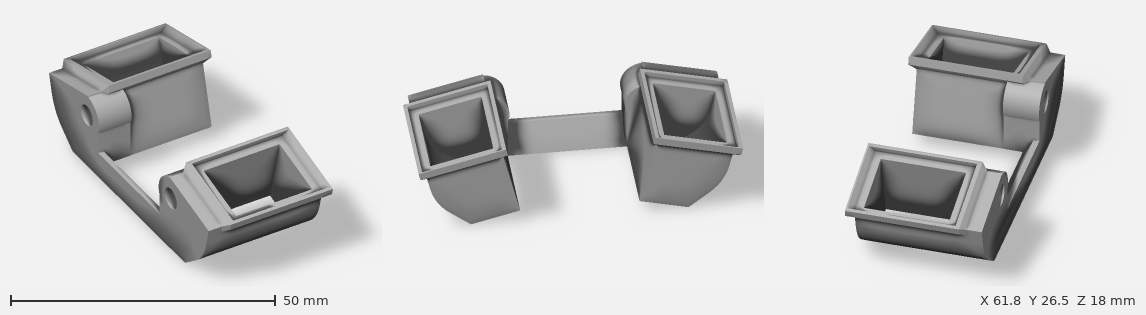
import cadquery as cq
import math

half_length = 30.9
total_height = 17.95
tilt = 14.0

rim_width = 17.2
rim_back = 26.5
rim_front = 4.1
rim_wall_height = 1.5
bevel = 1.2
back_overhang = 1.5
rim_thickness = 0.75
rim_front_thickness = 0.85
pod_back = rim_back - back_overhang
pod_left = bevel
pod_right = rim_width - bevel
pod_inner_wall = 16.2
pod_bottom = -15.85
side_corner = -9.05
bottom_corner = 6.55
side_radius = 10.5

cavity_wall = 1.25
cavity_front = 6.75
cavity_back = 23.45
cavity_radius = 7.8
sloping_wall_shift = 2.1

plate_depth = 7.1
pivot_radius = 4.5
pivot_across = 14.5
hole_diameter = 4.4
hole_depth = 5.0
plate_inner_x = -11.3
bar_height = 5.55
bar_top_depth = 1.2
bar_bottom_depth = 4.15

sin_tilt = math.sin(math.radians(tilt))
cos_tilt = math.cos(math.radians(tilt))
rim_edge_z = total_height - rim_width * sin_tilt


def to_part(u, v):
    """Return part X and Z of a point in the pod frame."""
    return (
        -half_length + u * cos_tilt - v * sin_tilt,
        rim_edge_z + u * sin_tilt + v * cos_tilt,
    )


def place(pod_shape):
    """Tilt a shape from the pod frame into its place on the left of the part."""
    tilted = pod_shape.rotate((0, 0, 0), (0, 1, 0), -tilt)
    return tilted.translate((-half_length, 0, rim_edge_z))


def prism(points, front, back):
    """Extrude an XZ outline between two Y positions."""
    outline = cq.Workplane("XZ", origin=(0, front, 0)).polyline(points).close()
    return outline.extrude(front - back)


def pod_prism(left, right, low_corner, top, bottom, radius, front, back):
    """Prism with one rounded, sloping outer side."""
    points = [(left, top), (right, top), (right, bottom), (low_corner, bottom), (left, side_corner)]
    rounded_edge = cq.selectors.NearestToPointSelector((left, (front + back) / 2, side_corner))
    return prism(points, front, back).edges(rounded_edge).fillet(radius)


def make_rim():
    """Raised frame with bevelled underside, slanted front and slanted recess back."""
    underside = -rim_wall_height - bevel
    section = [
        (0, 0), (rim_width, 0), (rim_width, -rim_wall_height),
        (pod_right, underside), (pod_left, underside), (0, -rim_wall_height),
    ]
    rim = prism(section, rim_front - bevel, rim_back)

    plan = [
        (0, rim_front), (bevel, rim_front - bevel), (pod_right, rim_front - bevel),
        (rim_width, rim_front), (rim_width, rim_back), (0, rim_back),
    ]
    rim = rim.intersect(cq.Workplane("XY").polyline(plan).close().extrude(underside))

    profile = [
        (rim_front, 0), (rim_front - bevel, -bevel), (rim_front - bevel, underside),
        (pod_back, underside), (rim_back, -rim_wall_height), (rim_back, 0),
    ]
    return rim.intersect(cq.Workplane("YZ").polyline(profile).close().extrude(rim_width))


def make_recess():
    """Shallow pocket inside the rim, its back wall leaning outward."""
    front = rim_front + rim_front_thickness
    profile = [(front, 0), (front, -bevel), (pod_back, -bevel), (pod_back + bevel, 0)]
    recess = cq.Workplane("YZ", origin=(rim_thickness, 0, 0)).polyline(profile).close()
    return recess.extrude(rim_width - 2 * rim_thickness)


def make_front_plate():
    """Upright plate that carries the pivot boss and joins the pod to the bar."""
    plate = prism(
        [
            to_part(pivot_across, pod_bottom),
            (plate_inner_x, plate_inner_bottom),
            (plate_inner_x, pivot_z),
            (pivot_x, pivot_z),
        ],
        0,
        plate_depth,
    )
    boss = cq.Workplane("XZ").center(pivot_x, pivot_z).circle(pivot_radius).extrude(-plate_depth)
    return plate.union(boss)


bar_end_x, bar_end_z = to_part(bottom_corner, pod_bottom)
plate_inner_bottom = bar_end_z + (plate_inner_x - bar_end_x) * sin_tilt / cos_tilt

pivot_x, pivot_z = to_part(pivot_across, -bevel - pivot_radius)

pod_front = pod_prism(
    pod_left, pod_right, bottom_corner, -bevel, pod_bottom, side_radius, 0, plate_depth
)
pod = pod_prism(
    pod_left, pod_inner_wall, bottom_corner, -bevel, pod_bottom, side_radius, plate_depth, pod_back
)
cavity = pod_prism(
    pod_left + cavity_wall, pod_right - cavity_wall, bottom_corner + sloping_wall_shift,
    0, pod_bottom, cavity_radius, cavity_front, cavity_back,
)
pivot_hole = cq.Workplane("XZ").center(pivot_x, pivot_z).circle(hole_diameter / 2).extrude(-hole_depth)

left_side = place(pod.union(pod_front).union(make_rim())).union(make_front_plate())
left_side = left_side.cut(place(make_recess())).cut(place(cavity)).cut(pivot_hole)

bar_outline = [
    (-pivot_x, bar_height), (pivot_x, bar_height), (bar_end_x, bar_end_z), (-bar_end_x, bar_end_z),
]
bar_profile = [(0, 0), (bar_bottom_depth, 0), (bar_top_depth, bar_height), (0, bar_height)]
bar = cq.Workplane("YZ").polyline(bar_profile).close().extrude(bar_end_x, both=True)
bar = bar.intersect(prism(bar_outline, 0, bar_bottom_depth))

result = left_side.union(left_side.mirror("YZ")).union(bar)